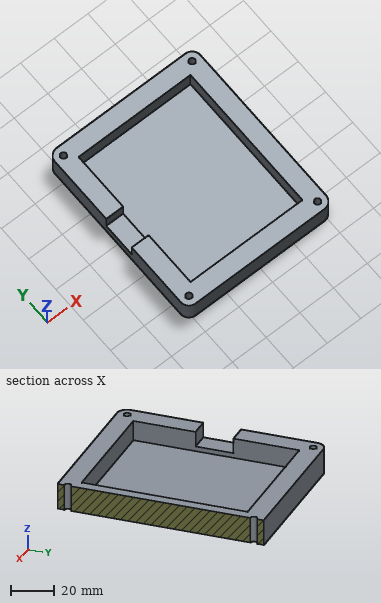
import cadquery as cq

width = 86.4
length = 102.0
height = 13.0
corner_radius = 5.0

wall = 10.0
pocket_depth = 10.0

notch_width = 18.7
notch_depth = 7.5
notch_center_y = -0.9

hole_diameter = 3.4
hole_spacing_x = width - 2 * corner_radius
hole_spacing_y = length - 2 * corner_radius

block = (
    cq.Workplane("XY")
    .box(width, length, height, centered=(True, True, False))
    .edges("|Z")
    .fillet(corner_radius)
)

pocket = (
    cq.Workplane("XY")
    .workplane(offset=height - pocket_depth)
    .rect(width - 2 * wall, length - 2 * wall)
    .extrude(pocket_depth)
)

notch = (
    cq.Workplane("XY")
    .workplane(offset=height - notch_depth)
    .center(-width / 2 + wall / 2, notch_center_y)
    .rect(wall, notch_width)
    .extrude(notch_depth)
)

holes = (
    cq.Workplane("XY")
    .rect(hole_spacing_x, hole_spacing_y, forConstruction=True)
    .vertices()
    .circle(hole_diameter / 2)
    .extrude(height)
)

result = block.cut(pocket).cut(notch).cut(holes)